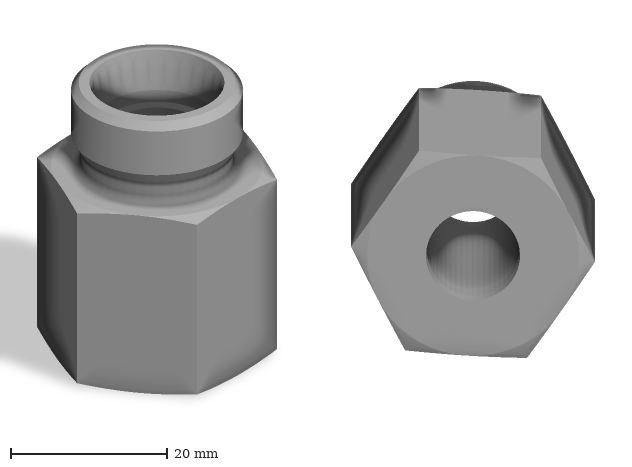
import cadquery as cq
import math

total_height = 38.0
across_flats = 27.05
hex_height = 26.0
across_corners = across_flats / math.cos(math.radians(30))
hex_chamfer_angle = 15.0

thread_radius = 22.0 / 2
thread_chamfer = 1.0
thread_bottom = 30.6
neck_radius = 19.7 / 2
undercut_taper_angle = 30.0
neck_fillet = 1.0

bore_diameter = 12.0
socket_radius = 15.0 / 2
cone_mouth_radius = 17.25 / 2
cone_half_angle = 12.0
socket_depth = 7.03


def hex_body():
    """Hexagon with flats facing +X and -X, its corners cut by a cone at both ends."""
    prism = (
        cq.Workplane("XY")
        .polygon(6, across_corners)
        .extrude(hex_height)
        .rotate((0, 0, 0), (0, 0, 1), 30)
    )
    flat_radius = across_flats / 2
    corner_radius = across_corners / 2
    corner_drop = (corner_radius - flat_radius) * math.tan(math.radians(hex_chamfer_angle))
    rim_radius = flat_radius + 2 * (corner_radius - flat_radius)
    rim_drop = 2 * corner_drop
    corner_cutter = (
        cq.Workplane("XZ")
        .moveTo(0, 0)
        .lineTo(flat_radius, 0)
        .lineTo(rim_radius, rim_drop)
        .lineTo(rim_radius, hex_height - rim_drop)
        .lineTo(flat_radius, hex_height)
        .lineTo(0, hex_height)
        .close()
        .revolve(360, (0, 0, 0), (0, 1, 0))
    )
    return prism.intersect(corner_cutter)


def threaded_end():
    """Plain thread cylinder on a narrower neck, filleted onto the hexagon."""
    taper = math.radians(undercut_taper_angle)
    blend_radius = neck_radius + neck_fillet * (1 - math.cos(taper))
    blend_top = thread_bottom - (thread_radius - blend_radius) / math.tan(taper)
    blend_bottom = blend_top - neck_fillet * math.sin(taper)
    return (
        cq.Workplane("XZ")
        .moveTo(0, hex_height)
        .lineTo(neck_radius + neck_fillet, hex_height)
        .radiusArc((neck_radius, hex_height + neck_fillet), neck_fillet)
        .lineTo(neck_radius, blend_bottom)
        .radiusArc((blend_radius, blend_top), neck_fillet)
        .lineTo(thread_radius, thread_bottom)
        .lineTo(thread_radius, total_height - thread_chamfer)
        .lineTo(thread_radius - thread_chamfer, total_height)
        .lineTo(0, total_height)
        .close()
        .revolve(360, (0, 0, 0), (0, 1, 0))
    )


def tube_socket():
    """Cutter for the sealing cone and the straight socket below it."""
    cone_depth = (cone_mouth_radius - socket_radius) / math.tan(math.radians(cone_half_angle))
    return (
        cq.Workplane("XZ")
        .moveTo(0, total_height - socket_depth)
        .lineTo(socket_radius, total_height - socket_depth)
        .lineTo(socket_radius, total_height - cone_depth)
        .lineTo(cone_mouth_radius, total_height)
        .lineTo(0, total_height)
        .close()
        .revolve(360, (0, 0, 0), (0, 1, 0))
    )


bore = cq.Workplane("XY").circle(bore_diameter / 2).extrude(total_height)

result = hex_body().union(threaded_end()).cut(tube_socket()).cut(bore)